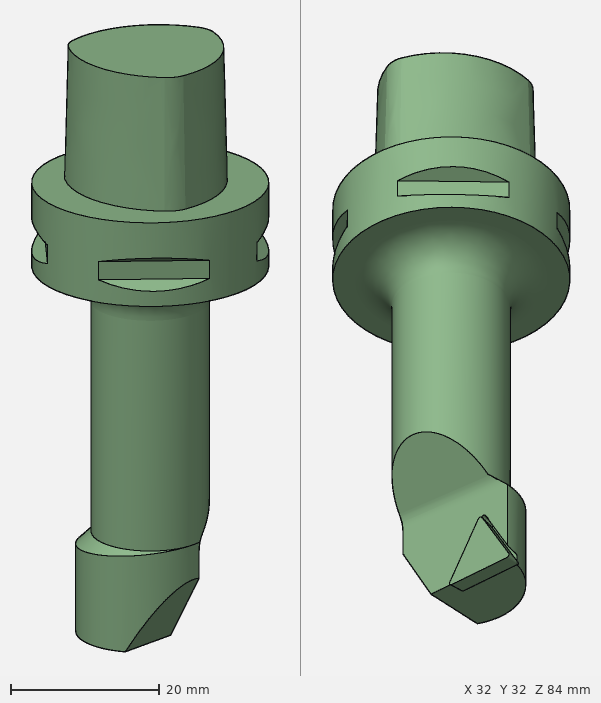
import cadquery as cq
import math


SHANK_LENGTH = 19.0
SHANK_SIDE_DISTANCE = 10.3
SHANK_LOBE_DISTANCE = 11.75
SHANK_LOBE_RADIUS = 4.2
SHANK_TAPER = 1 / 40
LOBE_ANGLES = (90, 210, 330)
LOBE_TO_SIDE_ANGLE = 60

FLANGE_DIAMETER = 32.0
FLANGE_HEIGHT = 12.0
NOTCH_ANGLES = (45, 135, 225, 315)
NOTCH_Z = -7.45
NOTCH_DEPTH = 1.87
NOTCH_FLOOR_HEIGHT = 2.6
NOTCH_WALL_ANGLE = 30.0

BAR_DIAMETER = 16.0
BAR_FILLET = 5.0
BAR_END_Z = -50.0

HEAD_DIAMETER = 18.4
HEAD_END_Z = -64.7
HEAD_END_SLOPE = 1.0
HEEL_TOP_Z = -55.0
HEEL_BOTTOM_X = 3.0

RAKE_ANGLE = 4.2
STEP_Y = 1.1
STEP_FILLET = 3.0
INSERT_PROUD = 0.2

INSERT_EDGE = 11.0
INSERT_CORNER_ANGLE = 60.0
INSERT_THICKNESS = 2.38
INSERT_NOSE_RADIUS = 0.4
INSERT_CLEARANCE = 7.0
FLANK_GAP = 0.5
TIP_X = -11.1
TIP_Z = -65.0

CUT_SIZE = 40.0
flange_radius = FLANGE_DIAMETER / 2
bar_radius = BAR_DIAMETER / 2
head_radius = HEAD_DIAMETER / 2
head_x = bar_radius - head_radius


def polar(distance, angle):
    """Point at a distance from the axis, in a direction given in degrees."""
    turn = math.radians(angle)
    return distance * math.cos(turn), distance * math.sin(turn)


def shank_section(z, inset):
    """Three wide side arcs joined tangentially by three lobe arcs."""
    side_distance = SHANK_SIDE_DISTANCE - inset
    lobe_distance = SHANK_LOBE_DISTANCE - inset
    lobe_radius = SHANK_LOBE_RADIUS - inset
    lobe_centre = lobe_distance - lobe_radius
    side_radius = (
        lobe_centre**2 + side_distance**2 - lobe_centre * side_distance - lobe_radius**2
    ) / (2 * side_distance - lobe_centre - 2 * lobe_radius)
    side_centre = side_radius - side_distance
    side_half_angle = math.asin(
        lobe_centre * math.sin(math.radians(LOBE_TO_SIDE_ANGLE)) / (side_radius - lobe_radius)
    )
    lobe_half_angle = math.radians(LOBE_TO_SIDE_ANGLE) - side_half_angle
    along = lobe_centre + lobe_radius * math.cos(lobe_half_angle)
    across = lobe_radius * math.sin(lobe_half_angle)
    join_distance = math.hypot(along, across)
    join_angle = math.degrees(math.atan2(across, along))

    section = cq.Workplane("XY", origin=(0, 0, z))
    section = section.moveTo(*polar(join_distance, LOBE_ANGLES[0] - join_angle))
    for angle in LOBE_ANGLES:
        section = section.threePointArc(
            polar(lobe_distance, angle), polar(join_distance, angle + join_angle)
        )
        section = section.threePointArc(
            polar(side_distance, angle + LOBE_TO_SIDE_ANGLE),
            polar(join_distance, angle + 2 * LOBE_TO_SIDE_ANGLE - join_angle),
        )
    return section.close().wire().val()


def make_shank():
    base = shank_section(0, 0)
    top = shank_section(SHANK_LENGTH, SHANK_LENGTH * SHANK_TAPER)
    return cq.Workplane(cq.Solid.makeLoft([base, top], True))


def make_flange_and_bar():
    """Flange and bar turned in one piece, with a rounded neck between them."""
    neck_radius = bar_radius + BAR_FILLET
    neck_arc = BAR_FILLET * math.sqrt(0.5)
    return (
        cq.Workplane("XZ")
        .lineTo(flange_radius, 0)
        .lineTo(flange_radius, -FLANGE_HEIGHT)
        .lineTo(neck_radius, -FLANGE_HEIGHT)
        .threePointArc(
            (neck_radius - neck_arc, -FLANGE_HEIGHT - BAR_FILLET + neck_arc),
            (bar_radius, -FLANGE_HEIGHT - BAR_FILLET),
        )
        .lineTo(bar_radius, BAR_END_Z)
        .lineTo(0, BAR_END_Z)
        .close()
        .revolve(360, (0, 0, 0), (0, 1, 0))
    )


def make_notch(angle):
    """Straight trapezoidal groove across the rim of the flange."""
    floor = flange_radius - NOTCH_DEPTH
    half_floor = NOTCH_FLOOR_HEIGHT / 2
    half_mouth = half_floor + NOTCH_DEPTH * math.tan(math.radians(NOTCH_WALL_ANGLE))
    return (
        cq.Workplane("XZ")
        .moveTo(floor, NOTCH_Z - half_floor)
        .lineTo(flange_radius, NOTCH_Z - half_mouth)
        .lineTo(flange_radius, NOTCH_Z + half_mouth)
        .lineTo(floor, NOTCH_Z + half_floor)
        .close()
        .extrude(flange_radius, both=True)
        .rotate((0, 0, 0), (0, 0, 1), angle)
    )


def make_head():
    """Offset cylinder, topped by a 45 degree cone coaxial with the bar."""
    cone_height = BAR_END_Z - TIP_Z
    cylinder = (
        cq.Workplane("XY", origin=(head_x, 0, TIP_Z))
        .circle(head_radius)
        .extrude(cone_height)
    )
    cone = cq.Workplane(
        cq.Solid.makeCone(bar_radius + cone_height, bar_radius, cone_height, cq.Vector(0, 0, TIP_Z))
    )
    end_rise = math.tan(math.radians(HEAD_END_SLOPE))
    left_x = head_x - head_radius
    heel_bottom_z = HEAD_END_Z + (HEEL_BOTTOM_X - left_x) * end_rise
    outline = (
        cq.Workplane("XZ")
        .moveTo(left_x, HEAD_END_Z)
        .lineTo(HEEL_BOTTOM_X, heel_bottom_z)
        .lineTo(bar_radius, HEEL_TOP_Z)
        .lineTo(bar_radius, BAR_END_Z)
        .lineTo(left_x, BAR_END_Z)
        .close()
        .extrude(head_radius, both=True)
    )
    return cylinder.intersect(cone).intersect(outline)


rake = math.radians(RAKE_ANGLE)
insert_plane = cq.Plane(
    origin=(TIP_X, 0, TIP_Z),
    xDir=(math.cos(rake), math.sin(rake), 0),
    normal=(math.sin(rake), -math.cos(rake), 0),
)


def make_rake_relief():
    """Material removed in front of the rake face, ending in a 45 degree run-out."""
    in_front = (
        cq.Workplane(insert_plane)
        .workplane(offset=INSERT_PROUD)
        .rect(2 * CUT_SIZE, 2 * CUT_SIZE)
        .extrude(-CUT_SIZE)
    )
    below_step = (
        cq.Workplane("YZ")
        .moveTo(STEP_Y - CUT_SIZE, BAR_END_Z - CUT_SIZE)
        .lineTo(STEP_Y + CUT_SIZE, BAR_END_Z - CUT_SIZE)
        .lineTo(STEP_Y + CUT_SIZE, BAR_END_Z + CUT_SIZE)
        .close()
        .extrude(CUT_SIZE, both=True)
    )
    foot_edge = cq.selectors.NearestToPointSelector((0, STEP_Y, BAR_END_Z))
    return in_front.intersect(below_step).edges(foot_edge).fillet(STEP_FILLET)


def make_insert():
    """Equilateral plate with rounded corners and flanks drawn in below the face."""
    return (
        cq.Workplane(insert_plane)
        .sketch()
        .polygon([
            (0, 0),
            polar(INSERT_EDGE, HEAD_END_SLOPE),
            polar(INSERT_EDGE, HEAD_END_SLOPE + INSERT_CORNER_ANGLE),
            (0, 0),
        ])
        .vertices()
        .fillet(INSERT_NOSE_RADIUS)
        .finalize()
        .extrude(INSERT_THICKNESS, taper=INSERT_CLEARANCE)
    )


def make_pocket(insert):
    """Seat of the insert, widened along the flank that faces -X."""
    gap_x, gap_z = polar(FLANK_GAP, HEAD_END_SLOPE + INSERT_CORNER_ANGLE + 90)
    gap_direction = insert_plane.xDir * gap_x + insert_plane.yDir * gap_z
    return insert.union(insert.translate(gap_direction))


insert = make_insert()

holder = make_flange_and_bar().union(make_shank()).union(make_head())
for notch_angle in NOTCH_ANGLES:
    holder = holder.cut(make_notch(notch_angle))
holder = holder.cut(make_rake_relief())
holder = holder.cut(make_pocket(insert))

result = cq.Compound.makeCompound([holder.solids().val(), insert.solids().val()])